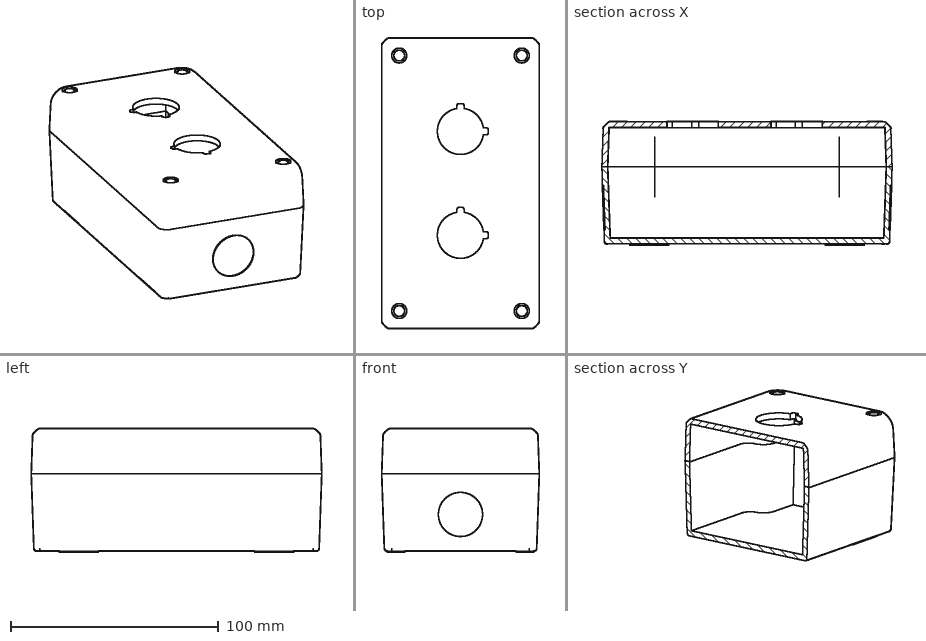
import cadquery as cq
import math

LENGTH_X = 76.0
LENGTH_Y = 140.0
HEIGHT = 59.5
JOINT_Z = 37.6
DRAFT = 2.0
WALL = 3.0
FOOT_HEIGHT = 0.4

CORNER_SETBACK = 8.7
ARC_INSET = 3.2
BLEND_RADIUS = 1.5
ARC_RADIUS = math.hypot(CORNER_SETBACK, CORNER_SETBACK - ARC_INSET)
ARC_OUTSET = ARC_RADIUS - CORNER_SETBACK

PILLAR_X = 23.3
PILLAR_Y = 44.4
PILLAR_RADIUS = 6.4
PILLAR_FILLET = 4.8

HOLE_DIAMETER = 22.3
HOLE_Y = 25.0
NOTCH_WIDTH = 3.4
NOTCH_CORNER_RADIUS = 1.0
NOTCH_REACH = 13.4

SCREW_X = 29.5
SCREW_Y = 61.5
RECESS_DIAMETER = 7.2
DOME_DIAMETER = 5.2
HEAD_CLEARANCE = 0.05
HEAD_SINK = 0.1
DOME_RADIUS = 10.0

KNOCKOUT_DIAMETER = 21.3
KNOCKOUT_Z = 18.1
KNOCKOUT_DEPTH = 0.5

FOOT_X = 31.0
FOOT_Y = 47.0
FOOT_WIDTH = 8.4
FOOT_LENGTH = 18.8

COVER_HEIGHT = HEIGHT - JOINT_Z
BASE_HEIGHT = JOINT_Z - FOOT_HEIGHT
CORNERS = [(sx, sy) for sx in (-1, 1) for sy in (-1, 1)]


def drafted_block(height, inset=0.0):
    """Block that tapers away from the joint plane; a negative height goes down."""
    return (
        cq.Workplane("XY", origin=(0, 0, JOINT_Z))
        .rect(LENGTH_X - 2 * inset, LENGTH_Y - 2 * inset)
        .extrude(height, taper=DRAFT)
    )


def pillar(sx, sy, height):
    """Corner block reaching past the outer walls, rounded on its inner vertical edge."""
    depth_x = LENGTH_X / 2 - PILLAR_X
    depth_y = LENGTH_Y / 2 - PILLAR_Y
    inner_edge = (sx * PILLAR_X, sy * PILLAR_Y, JOINT_Z + height / 2)
    return (
        cq.Workplane("XY", origin=(0, 0, JOINT_Z))
        .center(sx * (PILLAR_X + depth_x / 2), sy * (PILLAR_Y + depth_y / 2))
        .rect(depth_x, depth_y)
        .extrude(height)
        .edges(cq.selectors.NearestToPointSelector(inner_edge))
        .fillet(PILLAR_RADIUS)
    )


def cavity(height):
    """Hollow of one half: an inner drafted block less the pillars, which blend into the long walls."""
    hollow = drafted_block(height, WALL)
    wall_x = LENGTH_X / 2 - WALL
    for sx, sy in CORNERS:
        hollow = hollow.cut(pillar(sx, sy, height))
    for sx, sy in CORNERS:
        wall_edge = (sx * wall_x, sy * PILLAR_Y, JOINT_Z + height / 2)
        hollow = hollow.edges(cq.selectors.NearestToPointSelector(wall_edge)).fillet(PILLAR_FILLET)
    return hollow


def keyed_hole(y):
    """Round hole with a round-cornered notch towards +X and another towards +Y."""
    plane = cq.Workplane("XY", origin=(0, y, HEIGHT - 2 * WALL))
    cut_height = 3 * WALL
    hole = plane.circle(HOLE_DIAMETER / 2).extrude(cut_height)
    for angle in (0, 90):
        notch = (
            plane.transformed(rotate=(0, 0, angle))
            .center(NOTCH_REACH / 2, 0)
            .rect(NOTCH_REACH, NOTCH_WIDTH)
            .extrude(cut_height)
            .edges("|Z")
            .fillet(NOTCH_CORNER_RADIUS)
        )
        hole = hole.union(notch)
    return hole


def screw_recess():
    """Recess around a screw head that has a domed top and a rounded rim."""
    recess_radius = RECESS_DIAMETER / 2
    head_radius = recess_radius - HEAD_CLEARANCE
    dome_edge = DOME_DIAMETER / 2
    rim = head_radius - dome_edge
    dome_drop = HEAD_SINK + DOME_RADIUS - math.sqrt(DOME_RADIUS**2 - dome_edge**2)
    depth = dome_drop + rim
    head = (
        cq.Workplane("XZ")
        .moveTo(0, -depth)
        .lineTo(head_radius, -depth)
        .radiusArc((dome_edge, -dome_drop), rim)
        .lineTo(dome_edge, 0)
        .lineTo(0, 0)
        .close()
        .revolve(360, (0, 0, 0), (0, 1, 0))
    )
    dome = cq.Workplane("XY").sphere(DOME_RADIUS).rotate((0, 0, 0), (1, 0, 0), 90)
    head = head.intersect(dome.translate((0, 0, -HEAD_SINK - DOME_RADIUS)))
    recess = cq.Workplane("XY").workplane(offset=-depth).circle(recess_radius).extrude(2 * depth)
    return recess.cut(head)


def make_cover():
    """Upper half: rounded shell with two keyed holes and four recessed screw heads."""
    rounding = drafted_block(COVER_HEIGHT + ARC_OUTSET, -ARC_OUTSET)
    rounding = rounding.edges("not <Z").fillet(ARC_RADIUS)
    cover = drafted_block(COVER_HEIGHT).intersect(rounding)
    cover = cover.faces("%PLANE").edges("not <Z").fillet(BLEND_RADIUS)
    cover = cover.cut(cavity(COVER_HEIGHT - WALL))
    for y in (-HOLE_Y, HOLE_Y):
        cover = cover.cut(keyed_hole(y))
    for sx, sy in CORNERS:
        cover = cover.cut(screw_recess().translate((sx * SCREW_X, sy * SCREW_Y, HEIGHT)))
    return cover


def knockout(sy):
    """Thin disc set square to one drafted end wall, sunk into it by the knockout depth."""
    inset = (JOINT_Z - KNOCKOUT_Z) * math.tan(math.radians(DRAFT))
    disc = cq.Workplane("XY").circle(KNOCKOUT_DIAMETER / 2).extrude(KNOCKOUT_DEPTH, both=True)
    disc = disc.rotate((0, 0, 0), (1, 0, 0), sy * (90 - DRAFT))
    return disc.translate((0, sy * (LENGTH_Y / 2 - inset), KNOCKOUT_Z))


def foot(sx, sy):
    """Flat rectangular pad, half of whose thickness is sunk into the floor."""
    pad = cq.Workplane("XY").center(sx * FOOT_X, sy * FOOT_Y)
    return pad.rect(FOOT_WIDTH, FOOT_LENGTH).extrude(2 * FOOT_HEIGHT)


def make_base():
    """Lower half: rounded tray with a knockout in each end and four feet."""
    rounding = drafted_block(-BASE_HEIGHT, -ARC_OUTSET).edges("not(|X or |Y)").fillet(ARC_RADIUS)
    base = drafted_block(-BASE_HEIGHT).intersect(rounding)
    base = base.edges("not >Z").fillet(BLEND_RADIUS)
    base = base.cut(cavity(WALL - BASE_HEIGHT))
    for sy in (-1, 1):
        base = base.cut(knockout(sy))
    for sx, sy in CORNERS:
        base = base.union(foot(sx, sy))
    return base


cover = make_cover()
base = make_base()
result = cq.Compound.makeCompound([cover.solids().val(), base.solids().val()])